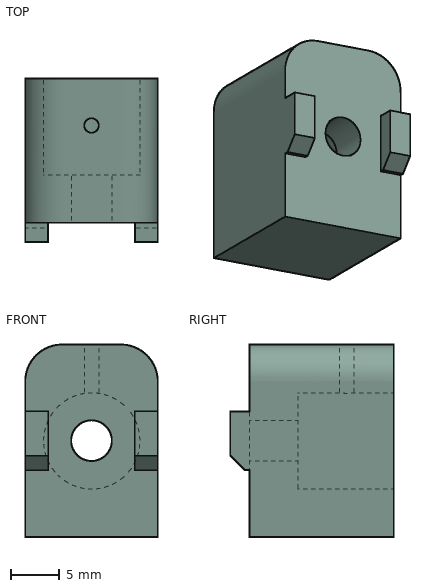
import cadquery as cq

width = 13.8
body_depth = 15.0
height = 20.0

corner_radius = 3.88

bore_diameter = 4.2
bore_height = height / 2
cavity_diameter = 10.0
cavity_depth = 10.0

top_hole_diameter = 1.5
top_hole_from_back = 4.9

tab_width = 2.4
tab_length = 2.0
tab_height = 6.1
tab_chamfer = 1.5

half_width = width / 2
front_y = -body_depth / 2
back_y = body_depth / 2


def make_body():
    """Upright block with its two long upper edges rounded."""
    return (
        cq.Workplane("XY")
        .box(width, body_depth, height, centered=(True, True, False))
        .edges("|Y and >Z")
        .fillet(corner_radius)
    )


def make_tab(left_x):
    """Tab on the front face with its lower front edge chamfered."""
    bottom_z = bore_height - tab_height / 2
    top_z = bottom_z + tab_height
    tip_y = front_y - tab_length
    return (
        cq.Workplane("YZ", origin=(left_x, 0, 0))
        .moveTo(front_y, bottom_z)
        .lineTo(tip_y + tab_chamfer, bottom_z)
        .lineTo(tip_y, bottom_z + tab_chamfer)
        .lineTo(tip_y, top_z)
        .lineTo(front_y, top_z)
        .close()
        .extrude(tab_width)
    )


def make_round_cut(diameter, depth):
    """Cylinder on the bore axis, running forward from the back face."""
    return (
        cq.Workplane("XZ", origin=(0, back_y, bore_height))
        .circle(diameter / 2)
        .extrude(depth)
    )


def make_top_hole():
    """Vertical hole from the top face down into the cavity."""
    return (
        cq.Workplane("XY", origin=(0, back_y - top_hole_from_back, bore_height))
        .circle(top_hole_diameter / 2)
        .extrude(height - bore_height)
    )


result = make_body()
for tab_left_x in (-half_width, half_width - tab_width):
    result = result.union(make_tab(tab_left_x))
result = result.cut(make_round_cut(bore_diameter, body_depth))
result = result.cut(make_round_cut(cavity_diameter, cavity_depth))
result = result.cut(make_top_hole())